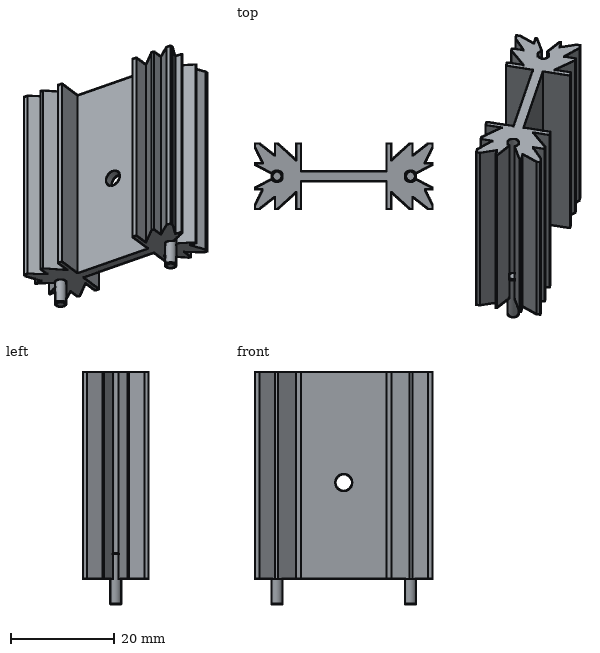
import cadquery as cq
import math

WIDTH = 34.4
DEPTH = 12.7
HEIGHT = 40.0
HALF_WIDTH = WIDTH / 2
HALF_DEPTH = DEPTH / 2

WEB_THICKNESS = 2.0
FIN_THICKNESS = 0.95
FIN_INNER_X = 8.25
FIN_OUTER_X = FIN_INNER_X + FIN_THICKNESS
FIN_ROOT_Y = 3.1

MIDDLE_SPIKE_X = 13.3
MIDDLE_SPIKE_TIP = 0.55
MIDDLE_SPIKE_ROOT_Y = 4.0

CORNER_FLAT_X = 0.9
CORNER_FLAT_Y = 0.75
CORNER_ROOT_DEPTH = 1.5
CORNER_ROOT_X = HALF_WIDTH - CORNER_ROOT_DEPTH

SIDE_SPIKE_Y = 2.55
SIDE_SPIKE_TIP = 0.3
SLOT_HALF_WIDTH = 0.5

MOUNT_HOLE_DIAMETER = 3.2
MOUNT_HOLE_Z = 18.6

PIN_DIAMETER = 2.2
PIN_SPACING = 25.8
PIN_PROTRUSION = 5.0
PIN_INSERTION = 5.0
PIN_CHAMFER = 0.2
PIN_X_POSITIONS = (-PIN_SPACING / 2, PIN_SPACING / 2)


def make_finned_end():
    """Spiked +X end of the profile, from the inner fin face outwards, with its slot."""
    slot_root_x = PIN_SPACING / 2 + math.sqrt((PIN_DIAMETER / 2) ** 2 - SLOT_HALF_WIDTH**2)
    upper_edge = [
        (FIN_INNER_X, HALF_DEPTH),
        (FIN_OUTER_X, HALF_DEPTH),
        (FIN_OUTER_X, FIN_ROOT_Y),
        (MIDDLE_SPIKE_X - MIDDLE_SPIKE_TIP, HALF_DEPTH),
        (MIDDLE_SPIKE_X, HALF_DEPTH),
        (MIDDLE_SPIKE_X, MIDDLE_SPIKE_ROOT_Y),
        (HALF_WIDTH - CORNER_FLAT_X, HALF_DEPTH),
        (HALF_WIDTH, HALF_DEPTH),
        (HALF_WIDTH, HALF_DEPTH - CORNER_FLAT_Y),
        (CORNER_ROOT_X, SIDE_SPIKE_Y),
        (HALF_WIDTH, SIDE_SPIKE_Y),
        (HALF_WIDTH, SIDE_SPIKE_Y - SIDE_SPIKE_TIP),
        (slot_root_x, SLOT_HALF_WIDTH),
    ]
    lower_edge = [(x, -y) for x, y in reversed(upper_edge)]
    return cq.Workplane("XY").polyline(upper_edge + lower_edge).close().extrude(HEIGHT)


def make_heat_sink():
    """Web plate joining two mirrored finned ends, with the pin holes and mounting hole."""
    web = cq.Workplane("XY").rect(2 * FIN_OUTER_X, WEB_THICKNESS).extrude(HEIGHT)
    right_end = make_finned_end()
    left_end = right_end.mirror("YZ")
    pin_holes = (
        cq.Workplane("XY")
        .pushPoints([(x, 0) for x in PIN_X_POSITIONS])
        .circle(PIN_DIAMETER / 2)
        .extrude(HEIGHT)
    )
    mount_hole = (
        cq.Workplane("XZ")
        .center(0, MOUNT_HOLE_Z)
        .circle(MOUNT_HOLE_DIAMETER / 2)
        .extrude(WEB_THICKNESS, both=True)
    )
    return web.union(right_end).union(left_end).cut(pin_holes).cut(mount_hole)


def make_pin(x):
    """Round pin with both ends chamfered, half inside the heat sink and half below it."""
    return (
        cq.Workplane("XY", origin=(x, 0, -PIN_PROTRUSION))
        .circle(PIN_DIAMETER / 2)
        .extrude(PIN_PROTRUSION + PIN_INSERTION)
        .edges("%CIRCLE")
        .chamfer(PIN_CHAMFER)
    )


heat_sink = make_heat_sink()
pins = [make_pin(x) for x in PIN_X_POSITIONS]

result = cq.Compound.makeCompound([heat_sink.val(), *[pin.val() for pin in pins]])